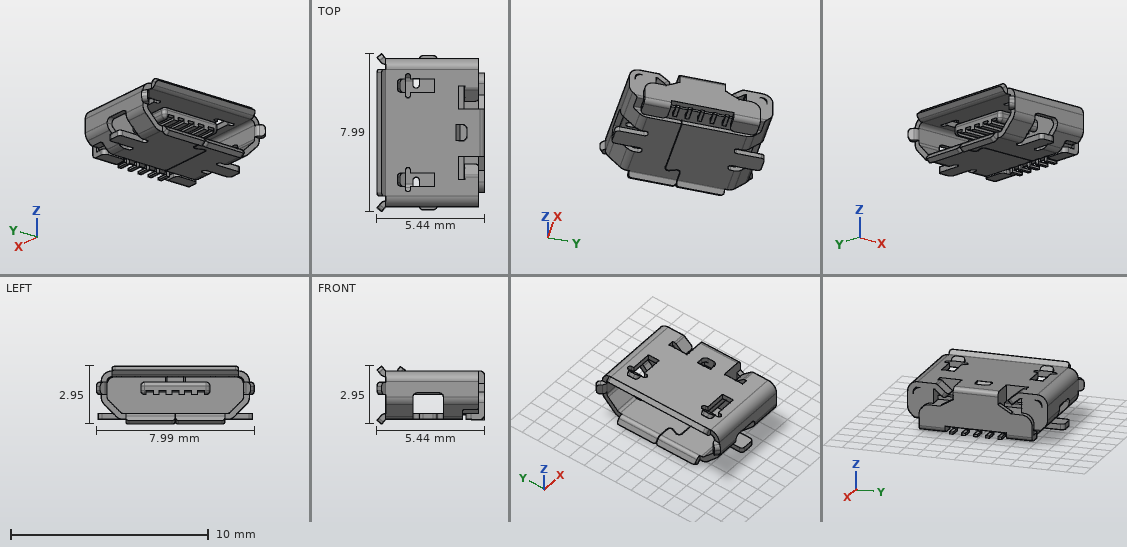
import cadquery as cq
import math


sheet = 0.3
shell_length = 4.7
shell_width = 7.5
shell_height = 2.46
side_corner_z = 0.92
inner_bend = 0.25
outer_bend = inner_bend + sheet
floor_length = 3.89
floor_cut_height = 0.51
floor_cut_corner = 0.095
rear_x = shell_length + sheet
inner_half_width = shell_width / 2 - sheet

lip_angle = math.radians(50.5)
lip_inner_bend = 0.015
lip_reach = 0.44
top_lip_width = 6.4
top_lip_corner = 0.16
side_lip_bottom = 1.26
side_lip_top = 1.88
side_lip_corner = 0.21
bottom_lip_end = 2.5
bottom_lip_corner = 0.14

seam_width = 0.03
seam_overrun = 0.08
seam_jog_start = 0.52
seam_jog = 0.8
seam_turn = math.radians(112)
seam_bend = 0.175

window_front = 1.38
window_rear = 2.91
window_top = 1.36
window_corner = 0.24
relief_width = 0.32
relief_end_y = 2.26
tab_end_y = 3.9
tab_corner = 0.19

latch_front = 1.0
latch_rear = 2.46
latch_inner_y = 2.035
latch_outer_y = 2.71
latch_relief_width = 0.255
latch_relief_length = 1.21
catch_tip_x = 0.59
catch_tip_z = 2.48
catch_thickness = 0.24
catch_angle = math.radians(35)
catch_corner = 0.2

notch_front = 3.69
notch_inner_y = 1.2
notch_outer_y = 2.36
finger_front = 3.99
finger_tip_y = 1.58
finger_bend_y = 2.25
finger_bend = 0.16
finger_angle = math.radians(40)
finger_corner = 0.2

port_front = 3.54
port_rear = 4.1
port_width = 0.81
port_corner = 0.24
port_slope_length = 0.2
port_slope_height = 0.295

wall_half_width = 3.025
wall_shoulder_z = 1.4
wall_shoulder_radius = 0.54
wall_shoulder_y = 1.9
wall_neck_z = 1.81
wall_bottom_z = 0.36
flange_front = 4.045
flange_inner_y = 1.635
flange_corner = 0.26

body_front = 3.35
body_corner = 0.36
body_foot_z = 0.24
body_foot_width = 5.27
pocket_step_x = 3.97
pocket_step_z = 1.595
pocket_floor_z = 1.4
tongue_front = 0.8
tongue_bottom = 1.26
tongue_top = 1.89
tongue_width = 3.495
tongue_round = 0.2
contact_pitch = 0.65
contact_count = 5
groove_width = 0.36
groove_mouth = 0.215
groove_depth = 0.135
groove_taper = 0.12
recess_width = 1.005
recess_taper = 0.09
tail_front = 4.33
tail_width = 0.2
tail_drop = 0.03
tail_thickness = 0.13


def box(x0, x1, y0, y1, z0, z1):
    return cq.Workplane("XY").box(x1 - x0, y1 - y0, z1 - z0, centered=False).translate((x0, y0, z0))


def both_sides(solid):
    """The solid at +Y together with its mirror image at -Y."""
    return solid.union(solid.mirror("XZ"))


def section(inset, x0, x1):
    """Sharp-cornered shell cross-section, set inward by `inset`, from x0 to x1."""
    half = shell_width / 2 - inset
    corner_z = side_corner_z + inset * (math.sqrt(2) - 1)
    foot_half = half - (corner_z - inset)
    top = shell_height - inset
    points = [(-half, top), (half, top), (half, corner_z), (foot_half, inset),
              (-foot_half, inset), (-half, corner_z)]
    return cq.Workplane("YZ").polyline(points).close().extrude(x1 - x0).translate((x0, 0, 0))


def lip(width, corner):
    """Lip flaring toward +Z from a sheet whose outer face is Z = 0 and whose edge is X = 0."""
    sin_a = math.sin(lip_angle)
    cos_a = math.cos(lip_angle)
    outer = lip_inner_bend + sheet
    straight = (lip_reach - outer * sin_a) / cos_a

    def on_bend(radius, angle):
        return (-radius * math.sin(angle), lip_inner_bend - radius * math.cos(angle))

    inner_end = on_bend(lip_inner_bend, lip_angle)
    inner_tip = (inner_end[0] - straight * cos_a, inner_end[1] + straight * sin_a)
    outer_tip = (inner_tip[0] - sheet * sin_a, inner_tip[1] - sheet * cos_a)
    profile = (
        cq.Workplane("XZ")
        .moveTo(0, 0)
        .threePointArc(on_bend(lip_inner_bend, lip_angle / 2), inner_end)
        .lineTo(*inner_tip)
        .lineTo(*outer_tip)
        .lineTo(*on_bend(outer, lip_angle))
        .threePointArc(on_bend(outer, lip_angle / 2), (0, -sheet))
        .close()
    )
    tip_edges = cq.selectors.ParallelDirSelector(cq.Vector(sin_a, 0, cos_a))
    return profile.extrude(width / 2, both=True).edges(tip_edges).fillet(corner)


def mouth_lips():
    top = lip(top_lip_width, top_lip_corner).translate((0, 0, shell_height))
    side = lip(side_lip_top - side_lip_bottom, side_lip_corner).rotate((0, 0, 0), (1, 0, 0), -90)
    side = side.translate((0, shell_width / 2, (side_lip_top + side_lip_bottom) / 2))
    bottom_width = bottom_lip_end - seam_width / 2
    bottom = lip(bottom_width, bottom_lip_corner).rotate((0, 0, 0), (1, 0, 0), 180)
    bottom = bottom.translate((0, bottom_lip_end - bottom_width / 2, 0))
    return top.union(both_sides(side)).union(both_sides(bottom))


def seam():
    """Thin S-shaped slit through the floor, swept along its centre line."""
    across = seam_bend * (1 - math.cos(seam_turn))
    along = seam_bend * math.sin(seam_turn)
    slant_drop = seam_jog - 2 * across
    slant_run = slant_drop / math.tan(seam_turn)
    first_bend = (seam_jog_start + along, -across)
    slant_end = (first_bend[0] + slant_run, first_bend[1] - slant_drop)
    path = (
        cq.Workplane("XY")
        .moveTo(-seam_overrun, 0)
        .lineTo(seam_jog_start, 0)
        .tangentArcPoint(first_bend, relative=False)
        .lineTo(*slant_end)
        .tangentArcPoint((slant_end[0] + along, -seam_jog), relative=False)
        .lineTo(floor_length + seam_overrun, -seam_jog)
    )
    cut_height = 2 * sheet + seam_overrun
    return cq.Workplane("YZ", origin=(-seam_overrun, 0, 0)).rect(seam_width, cut_height).sweep(path)


def side_window():
    """Opening through the side wall and floor, with the relief slots beside the tab."""
    relief_centre_y = relief_end_y + relief_width / 2
    window = box(window_front, window_rear, relief_centre_y, shell_width, 0, window_top)
    window = window.edges("|Y and >Z").fillet(window_corner)
    keep_floor = box(window_front + relief_width, window_rear - relief_width,
                     0, inner_half_width, 0, sheet)
    window = window.cut(keep_floor)
    for x in (window_front + relief_width / 2, window_rear - relief_width / 2):
        end = cq.Workplane("XY").center(x, relief_centre_y).circle(relief_width / 2).extrude(sheet)
        window = window.union(end)
    return window


def solder_tab():
    tab = box(window_front + relief_width, window_rear - relief_width, relief_end_y, tab_end_y, 0, sheet)
    return tab.edges("|Z and >Y").fillet(tab_corner)


def latch_opening():
    mid_y = (latch_inner_y + latch_outer_y) / 2
    floor_z = shell_height - sheet
    slot = box(latch_front, latch_rear, latch_inner_y, latch_outer_y, floor_z, shell_height)
    relief = (
        cq.Workplane("XY", origin=(latch_front + latch_relief_width / 2, mid_y, floor_z))
        .slot2D(latch_relief_length, latch_relief_width, 90)
        .extrude(sheet)
    )
    return slot.union(relief)


def latch_catch():
    """Upturned catch at the front edge of a latch opening, leaning toward the mouth."""
    sin_a = math.sin(catch_angle)
    cos_a = math.cos(catch_angle)
    low_tip = (catch_tip_x, catch_tip_z)
    high_tip = (catch_tip_x + catch_thickness * sin_a, catch_tip_z + catch_thickness * cos_a)
    high_root_z = high_tip[1] - (latch_front - high_tip[0]) * math.tan(catch_angle)
    low_root_z = catch_tip_z - (latch_front - catch_tip_x) * math.tan(catch_angle)
    points = [low_tip, high_tip, (latch_front, high_root_z), (latch_front, low_root_z)]
    catch = (
        cq.Workplane("XZ", origin=(0, latch_outer_y, 0))
        .polyline(points)
        .close()
        .extrude(latch_outer_y - latch_inner_y)
    )
    tip_edges = cq.selectors.ParallelDirSelector(cq.Vector(sin_a, 0, cos_a))
    return catch.edges(tip_edges).fillet(catch_corner)


def top_port():
    """Window in the top; its front wall slopes down toward the rear."""
    port = box(port_front, port_rear, -port_width / 2, port_width / 2,
               shell_height - sheet, shell_height)
    port = port.edges("|Z and >X").fillet(port_corner)
    return port.edges("|Y and <X and <Z").chamfer(port_slope_length, port_slope_height)


def rear_finger():
    """Finger bent down and inward from the outer edge of a rear notch."""
    def on_bend(angle):
        return (finger_bend_y - finger_bend * math.sin(angle),
                shell_height - finger_bend * (1 - math.cos(angle)))

    top_end = on_bend(finger_angle)
    top_tip = (finger_tip_y, top_end[1] - (top_end[0] - finger_tip_y) * math.tan(finger_angle))
    low_tip = (top_tip[0] + sheet * math.sin(finger_angle),
               top_tip[1] - sheet * math.cos(finger_angle))
    inner_corner_y = finger_bend_y + (sheet - finger_bend) * math.tan(finger_angle / 2)
    finger = (
        cq.Workplane("YZ", origin=(finger_front, 0, 0))
        .moveTo(notch_outer_y, shell_height)
        .lineTo(finger_bend_y, shell_height)
        .threePointArc(on_bend(finger_angle / 2), top_end)
        .lineTo(*top_tip)
        .lineTo(*low_tip)
        .lineTo(inner_corner_y, shell_height - sheet)
        .lineTo(notch_outer_y, shell_height - sheet)
        .close()
        .extrude(shell_length - finger_front)
    )
    thickness_dir = cq.Vector(0, -math.sin(finger_angle), math.cos(finger_angle))
    tip_corner = cq.selectors.ParallelDirSelector(thickness_dir)
    return finger.edges(tip_corner).edges("<Y").edges(">X").fillet(finger_corner)


def rear_wall():
    """Wall folded down from the top on a narrow neck, with two flanges folded forward under it."""
    arc_start_y = wall_half_width - wall_shoulder_radius
    arc_mid = wall_shoulder_radius * math.sqrt(0.5)
    arc_centre_z = wall_shoulder_z - wall_shoulder_radius
    half = (
        cq.Workplane("YZ", origin=(shell_length, 0, 0))
        .moveTo(0, shell_height)
        .lineTo(notch_inner_y, shell_height)
        .lineTo(notch_inner_y, wall_neck_z)
        .lineTo(wall_shoulder_y, wall_shoulder_z)
        .lineTo(arc_start_y, wall_shoulder_z)
        .threePointArc((arc_start_y + arc_mid, arc_centre_z + arc_mid), (wall_half_width, arc_centre_z))
        .lineTo(wall_half_width, 0)
        .lineTo(flange_inner_y, 0)
        .lineTo(flange_inner_y, wall_bottom_z)
        .lineTo(0, wall_bottom_z)
        .close()
        .extrude(sheet)
    )
    flange = box(flange_front, shell_length, flange_inner_y, wall_half_width, 0, sheet)
    half = half.union(flange.edges("|Z and <X").fillet(flange_corner))
    wall = both_sides(half)
    return wall.edges("|Y and >X and (>Z or <Z)").fillet(inner_bend)


def floor_cut():
    """Clears the rear of the floor, with a rounded front corner and a rounded rear lip."""
    radius = floor_cut_corner
    return (
        cq.Workplane("XZ")
        .moveTo(floor_length, 0)
        .lineTo(floor_length, floor_cut_height - radius)
        .radiusArc((floor_length + radius, floor_cut_height), radius)
        .lineTo(shell_length - radius, floor_cut_height)
        .radiusArc((shell_length, floor_cut_height + radius), -radius)
        .lineTo(shell_length, 0)
        .close()
        .extrude(shell_width, both=True)
    )


def shell():
    outer = section(0, 0, shell_length).edges("|X").fillet(outer_bend)
    inner = section(sheet, 0, shell_length).edges("|X").fillet(inner_bend)
    metal = outer.cut(inner)
    metal = metal.cut(floor_cut())
    metal = metal.cut(both_sides(side_window())).union(both_sides(solder_tab()))
    metal = metal.cut(both_sides(latch_opening())).union(both_sides(latch_catch()))
    notch = box(notch_front, shell_length, notch_inner_y, notch_outer_y,
                shell_height - sheet, shell_height)
    metal = metal.cut(both_sides(notch))
    metal = metal.cut(top_port()).cut(seam())
    return metal.union(mouth_lips()).union(rear_wall())


def contact_positions():
    return [(index - (contact_count - 1) / 2) * contact_pitch for index in range(contact_count)]


def tongue():
    """Blade rounded all over its front, with square teeth between the contact grooves below."""
    blade = box(tongue_front, body_front, -tongue_width / 2, tongue_width / 2, tongue_bottom, tongue_top)
    blade = blade.edges("|X or <X").fillet(tongue_round)
    teeth_half = ((contact_count - 1) * contact_pitch + groove_width) / 2
    blade = blade.union(box(tongue_front, body_front, -teeth_half, teeth_half,
                            tongue_bottom, tongue_bottom + tongue_round))
    for y in contact_positions():
        groove = (
            cq.Workplane("XZ", origin=(0, y, tongue_bottom))
            .polyline([(tongue_front, 0), (tongue_front, groove_mouth),
                       (tongue_front + groove_taper, groove_depth),
                       (body_front, groove_depth), (body_front, 0)])
            .close()
            .extrude(groove_width / 2, both=True)
        )
        blade = blade.cut(groove)
    return blade


def contact_tails():
    tails = cq.Workplane("XY")
    for y in contact_positions():
        y0 = y - tail_width / 2
        y1 = y + tail_width / 2
        foot = box(tail_front, rear_x, y0, y1, -tail_drop, tail_thickness - tail_drop)
        riser = box(tail_front, tail_front + tail_thickness, y0, y1, -tail_drop, sheet)
        tails = tails.union(foot).union(riser)
    return tails


def body():
    block = section(sheet, body_front, shell_length)
    block = block.edges("|X and >Z").fillet(body_corner)
    block = block.union(box(floor_length, shell_length, -body_foot_width / 2, body_foot_width / 2,
                            body_foot_z, sheet))
    front_pocket = box(notch_front, pocket_step_x, notch_inner_y, notch_outer_y,
                       pocket_step_z, shell_height)
    rear_pocket = box(pocket_step_x, shell_length, notch_inner_y, notch_outer_y,
                      pocket_floor_z, shell_height)
    block = block.cut(both_sides(front_pocket.union(rear_pocket)))
    recess = (
        cq.Workplane("XY", origin=(0, 0, tongue_top))
        .polyline([(body_front, -recess_width / 2), (port_front, recess_taper - recess_width / 2),
                   (port_rear, recess_taper - recess_width / 2),
                   (port_rear, recess_width / 2 - recess_taper),
                   (port_front, recess_width / 2 - recess_taper), (body_front, recess_width / 2)])
        .close()
        .extrude(shell_height - sheet - tongue_top)
    )
    return block.cut(recess).union(tongue()).union(contact_tails())


connector = shell().union(body()).union(both_sides(rear_finger()))
result = cq.Workplane(connector.solids().val())